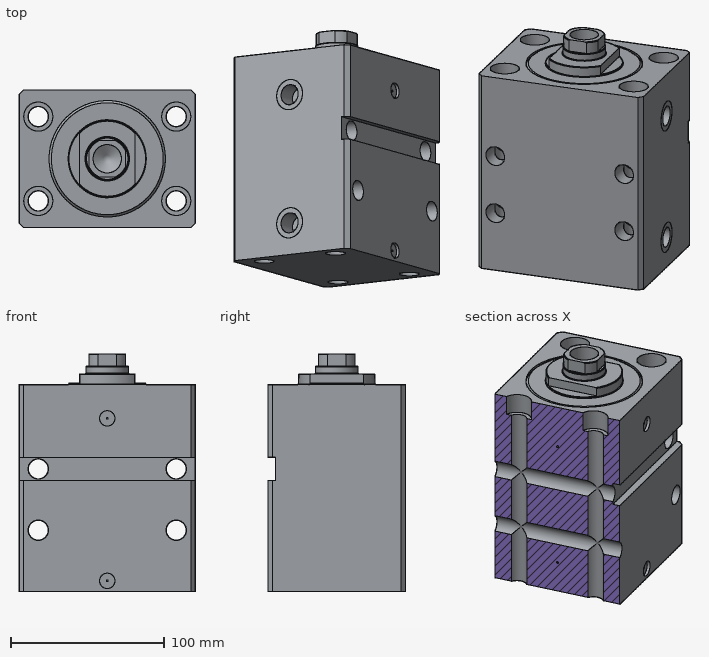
import cadquery as cq
import math

LENGTH = 115.0
WIDTH = 90.0
HEIGHT = 135.0
CORNER_CHAMFER = 3.0

SLOT_HEIGHT = 15.0
SLOT_DEPTH = 5.0
SLOT_Z = 80.0

BOLT_X = 45.0
BOLT_Y = 27.5
BOLT_DIAMETER = 13.0
COUNTERBORE_DIAMETER = 19.0
COUNTERBORE_DEPTH = 13.0
CROSS_HOLE_HEIGHTS = (40.0, SLOT_Z)

PORT_HEIGHTS = (21.0, 106.0)
PORT_DIAMETER = 13.2
PORT_DEPTH = 14.0
SPOT_FACE_DIAMETER = 20.0
SPOT_FACE_DEPTH = 0.1

RECESS_HEIGHTS = (7.0, 113.0)
RECESS_DIAMETER = 10.0
RECESS_DEPTH = 2.0

FEED_DIAMETER = 1.0
FEED_DEPTH = 4.0

GLAND_DIAMETER = 76.0
GLAND_THICKNESS = 25.0
GLAND_CHAMFER = 1.5

LIP_HEIGHT = 0.5

ROD_DIAMETER = 50.0
ROD_FLATS = 36.0
ROD_EDGE_CHAMFER = 0.5
FLATS_BASE_Z = HEIGHT + 1.0
SHOULDER_Z = HEIGHT + 7.0
NECK_DIAMETER = 28.0
NECK_LENGTH = 5.0
NECK_BASE_FLARE = 0.5
SQUARE_FLATS = 24.0
SQUARE_CORNER_DIAMETER = 27.0
SQUARE_LENGTH = 8.0
THREAD_HOLE_DIAMETER = 18.5
THREAD_HOLE_DEPTH = 28.0
DRILL_POINT_ANGLE = 118.0

NECK_TOP_Z = SHOULDER_Z + NECK_LENGTH
ROD_TOP_Z = NECK_TOP_Z + SQUARE_LENGTH
GLAND_BASE_Z = HEIGHT - GLAND_THICKNESS
LIP_TOP_Z = HEIGHT + LIP_HEIGHT

LEFT_FACE_X = -LENGTH / 2
FRONT_FACE_Y = -WIDTH / 2
INTO_LEFT_FACE = cq.Vector(1, 0, 0)
INTO_FRONT_FACE = cq.Vector(0, 1, 0)


def cylinder(diameter, start_z, end_z):
    """Upright cylinder on the part's axis between two heights."""
    return cq.Workplane("XY").workplane(offset=start_z).circle(diameter / 2).extrude(end_z - start_z)


def drill(mouth, direction, diameter, depth):
    """Cutting cylinder that enters at the mouth point."""
    return cq.Workplane(cq.Solid.makeCylinder(diameter / 2, depth, mouth, direction))


def drill_with_feed(mouth, direction, diameter, depth):
    """Flat-bottomed hole with a small feed hole in its floor."""
    return drill(mouth, direction, diameter, depth).union(
        drill(mouth, direction, FEED_DIAMETER, depth + FEED_DEPTH)
    )


def gland_envelope():
    """Full gland disc, which is also the shape of its seat before the edge chamfer."""
    return cylinder(GLAND_DIAMETER, GLAND_BASE_Z, HEIGHT)


def make_housing():
    block = cq.Workplane("XY").box(LENGTH, WIDTH, HEIGHT, centered=(True, True, False))
    block = block.edges("|Z").chamfer(CORNER_CHAMFER)

    slot = cq.Workplane("XY").box(LENGTH, 2 * SLOT_DEPTH, SLOT_HEIGHT)
    block = block.cut(slot.translate((0, FRONT_FACE_Y, SLOT_Z)))

    block = (
        block.faces(">Z")
        .workplane(origin=(0, 0, HEIGHT))
        .rect(2 * BOLT_X, 2 * BOLT_Y, forConstruction=True)
        .vertices()
        .cboreHole(BOLT_DIAMETER, COUNTERBORE_DIAMETER, COUNTERBORE_DEPTH)
    )

    for x in (-BOLT_X, BOLT_X):
        for z in CROSS_HOLE_HEIGHTS:
            mouth = cq.Vector(x, FRONT_FACE_Y, z)
            block = block.cut(drill(mouth, INTO_FRONT_FACE, BOLT_DIAMETER, WIDTH))

    for z in PORT_HEIGHTS:
        mouth = cq.Vector(LEFT_FACE_X, 0, z)
        block = block.cut(drill(mouth, INTO_LEFT_FACE, SPOT_FACE_DIAMETER, SPOT_FACE_DEPTH))
        block = block.cut(drill_with_feed(mouth, INTO_LEFT_FACE, PORT_DIAMETER, PORT_DEPTH))

    for z in RECESS_HEIGHTS:
        mouth = cq.Vector(0, FRONT_FACE_Y, z)
        block = block.cut(drill_with_feed(mouth, INTO_FRONT_FACE, RECESS_DIAMETER, RECESS_DEPTH))

    return block.cut(gland_envelope())


def make_gland():
    ring = gland_envelope().faces(">Z").edges().chamfer(GLAND_CHAMFER)
    rod_radius = ROD_DIAMETER / 2
    lip = cq.Solid.makeCone(rod_radius + LIP_HEIGHT, rod_radius, LIP_HEIGHT, cq.Vector(0, 0, HEIGHT))
    ring = ring.union(cq.Workplane(lip))
    return ring.cut(cylinder(ROD_DIAMETER, GLAND_BASE_Z, LIP_TOP_Z))


def make_rod():
    shaft = cylinder(ROD_DIAMETER, GLAND_BASE_Z, SHOULDER_Z)
    shaft = shaft.faces(">Z").edges().chamfer(ROD_EDGE_CHAMFER)
    flats_height = SHOULDER_Z - FLATS_BASE_Z
    flats = cq.Workplane("XY").box(ROD_FLATS, ROD_DIAMETER, flats_height, centered=(True, True, False))
    waste = cylinder(ROD_DIAMETER, FLATS_BASE_Z, SHOULDER_Z).cut(flats.translate((0, 0, FLATS_BASE_Z)))
    shaft = shaft.cut(waste)

    neck = cylinder(NECK_DIAMETER, SHOULDER_Z, NECK_TOP_Z)
    neck = neck.faces(">Z").edges().chamfer(ROD_EDGE_CHAMFER)
    neck_radius = NECK_DIAMETER / 2
    flare = cq.Solid.makeCone(
        neck_radius + NECK_BASE_FLARE, neck_radius, NECK_BASE_FLARE, cq.Vector(0, 0, SHOULDER_Z)
    )
    neck = neck.union(cq.Workplane(flare))

    square = cq.Workplane("XY").box(SQUARE_FLATS, SQUARE_FLATS, SQUARE_LENGTH, centered=(True, True, False))
    tip = cylinder(SQUARE_CORNER_DIAMETER, NECK_TOP_Z, ROD_TOP_Z)
    tip = tip.faces(">Z").edges().chamfer(ROD_EDGE_CHAMFER)
    tip = tip.intersect(square.translate((0, 0, NECK_TOP_Z)))

    hole_radius = THREAD_HOLE_DIAMETER / 2
    hole_floor_z = ROD_TOP_Z - THREAD_HOLE_DEPTH
    point_length = hole_radius / math.tan(math.radians(DRILL_POINT_ANGLE / 2))
    hole = (
        cq.Workplane("XZ")
        .moveTo(0, ROD_TOP_Z)
        .lineTo(hole_radius, ROD_TOP_Z)
        .lineTo(hole_radius, hole_floor_z)
        .lineTo(0, hole_floor_z - point_length)
        .close()
        .revolve(360, (0, 0), (0, 1))
    )
    return shaft.union(neck).union(tip).cut(hole)


housing = make_housing()
gland = make_gland()
rod = make_rod()

result = cq.Compound.makeCompound([housing.val(), gland.val(), rod.val()])